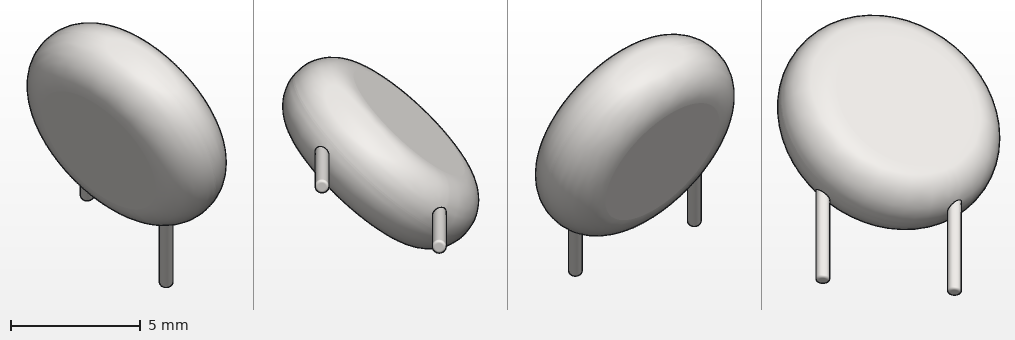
import cadquery as cq

body_diameter = 9.0
body_thickness = 3.3
edge_radius = 1.61

lead_diameter = 0.54
lead_spacing_x = 5.0
lead_spacing_y = 1.2
lead_protrusion = 3.03
lead_tip_radius = lead_diameter / 5

body_radius = body_diameter / 2
body_center_z = body_radius


def make_body():
    """Round disc with both rims rounded, leaving a narrow flat band between them."""
    return (
        cq.Workplane("XZ", origin=(0, 0, body_center_z))
        .circle(body_radius)
        .extrude(body_thickness / 2, both=True)
        .edges()
        .fillet(edge_radius)
    )


def make_lead(x, y):
    """Straight vertical wire with a rounded tip, running up into the disc."""
    return (
        cq.Workplane("XY", origin=(x, y, -lead_protrusion))
        .circle(lead_diameter / 2)
        .extrude(lead_protrusion + body_center_z)
        .faces("<Z")
        .edges()
        .fillet(lead_tip_radius)
    )


result = make_body()
for side in (-1, 1):
    result = result.union(make_lead(side * lead_spacing_x / 2, -side * lead_spacing_y / 2))